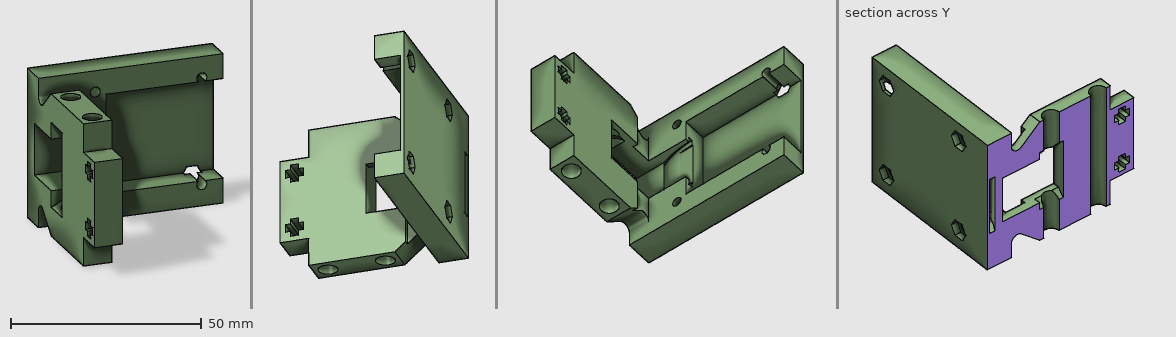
import cadquery as cq
import math

PLATE_THICKNESS = 8.25
PLATE_LENGTH = 52.0
PLATE_HEIGHT = 42.0

BASE_THICKNESS = 8.0
BLOCK_START_X = 17.75
BLOCK_LENGTH = 24.0
BLOCK_HEIGHT = 40.0
BLOCK_END_X = BLOCK_START_X + BLOCK_LENGTH
TAB_LENGTH = 8.0
TAB_HEIGHT = 24.0

NOTCH_RADIUS = 2.0
NOTCH_BOTTOM_Z = 14.25

RELIEF_END_X = 14.75
RELIEF_DEPTH = 1.5

WINDOW_START_X = 5.25
WINDOW_END_X = 25.75
WINDOW_HEIGHT = 14.5

SEAT_RADIUS = 12.7
SEAT_HALF_HEIGHT = 11.9
SEAT_AXIS_Y = -math.sqrt(SEAT_RADIUS**2 - SEAT_HALF_HEIGHT**2)

BORE_DIAMETER = 5.2
BORE_INSET = 4.0
BORE_XS = (BLOCK_START_X + BORE_INSET, BLOCK_END_X - BORE_INSET)

CROSS_SPAN = 5.0
CROSS_ARM_WIDTH = 2.2
CROSS_X = BLOCK_END_X + TAB_LENGTH / 2
CROSS_PITCH = 16.0

SCREW_DIAMETER = 2.8
SCREW_PITCH = 30.0
SCREW_CENTER_Y = PLATE_LENGTH - PLATE_HEIGHT / 2
NUT_CORNER_DIAMETER = 6.0
NUT_DEPTH = 2.0

RECESS_FLOOR_X = 1.0
RECESS_HEIGHT = 28.0
RECESS_START_Y = 19.0

PASSAGE_HEIGHT = 18.0
PASSAGE_MOUTH_START_Y = 0.65
PASSAGE_MOUTH_END_Y = 2.8
PASSAGE_AXIS_X = -20.6
PASSAGE_AXIS_Y = RECESS_START_Y


def box(x_range, y_range, height, center_z=0.0):
    """Box spanning the X and Y ranges, centred on center_z."""
    length = x_range[1] - x_range[0]
    depth = y_range[1] - y_range[0]
    center = (sum(x_range) / 2, sum(y_range) / 2, center_z)
    return cq.Workplane("XY").box(length, depth, height).translate(center)


def notch():
    """Cutter above the base flank: plate face, tangent round bottom, slope."""
    center_x = PLATE_THICKNESS + NOTCH_RADIUS
    center_z = NOTCH_BOTTOM_Z + NOTCH_RADIUS
    top_z = BLOCK_HEIGHT / 2

    run = BLOCK_START_X - center_x
    rise = top_z - center_z
    slope = math.atan2(rise, run) + math.asin(NOTCH_RADIUS / math.hypot(run, rise))
    tangent_x = center_x + NOTCH_RADIUS * math.sin(slope)
    tangent_z = center_z - NOTCH_RADIUS * math.cos(slope)

    return (
        cq.Workplane("XZ")
        .moveTo(PLATE_THICKNESS, top_z)
        .lineTo(PLATE_THICKNESS, center_z)
        .threePointArc((center_x, NOTCH_BOTTOM_Z), (tangent_x, tangent_z))
        .lineTo(BLOCK_START_X, top_z)
        .close()
        .extrude(-BASE_THICKNESS)
    )


def base():
    """Notched block with its end tab and the relief beside the plate."""
    base_y = (0, BASE_THICKNESS)
    body = box((PLATE_THICKNESS, BLOCK_END_X), base_y, BLOCK_HEIGHT)
    body = body.union(box((BLOCK_END_X, BLOCK_END_X + TAB_LENGTH), base_y, TAB_HEIGHT))
    upper_notch = notch()
    body = body.cut(upper_notch).cut(upper_notch.mirror("XY"))
    relief_y = (BASE_THICKNESS - RELIEF_DEPTH, BASE_THICKNESS)
    return body.cut(box((PLATE_THICKNESS, RELIEF_END_X), relief_y, BLOCK_HEIGHT))


def window():
    """Rectangular opening along Y, through the base and along the plate."""
    opening = box((WINDOW_START_X, WINDOW_END_X), (0, BASE_THICKNESS), WINDOW_HEIGHT)
    groove = box((WINDOW_START_X, PLATE_THICKNESS), (0, PLATE_LENGTH), WINDOW_HEIGHT)
    return opening.union(groove)


def seat():
    """Cylinder along X whose axis lies in front of the base."""
    return (
        cq.Workplane("YZ", origin=(BLOCK_START_X, SEAT_AXIS_Y, 0))
        .circle(SEAT_RADIUS)
        .extrude(WINDOW_END_X - BLOCK_START_X)
    )


def bores():
    """Vertical bores through the full height of the block."""
    return (
        cq.Workplane("XY", origin=(0, BASE_THICKNESS / 2, -BLOCK_HEIGHT / 2))
        .pushPoints([(x, 0) for x in BORE_XS])
        .circle(BORE_DIAMETER / 2)
        .extrude(BLOCK_HEIGHT)
    )


def cross_hole(center_z):
    """Two crossed bars running through the tab along Y."""
    half_span = CROSS_SPAN / 2
    half_arm = CROSS_ARM_WIDTH / 2
    tab_y = (0, BASE_THICKNESS)
    flat = box((CROSS_X - half_span, CROSS_X + half_span), tab_y, CROSS_ARM_WIDTH, center_z)
    upright = box((CROSS_X - half_arm, CROSS_X + half_arm), tab_y, CROSS_SPAN, center_z)
    return flat.union(upright)


def screw_holes():
    """Four screw holes along X, each with a nut pocket in the outer face."""
    pattern = cq.Workplane("YZ", origin=(0, SCREW_CENTER_Y, 0)).rarray(SCREW_PITCH, SCREW_PITCH, 2, 2)
    holes = pattern.circle(SCREW_DIAMETER / 2).extrude(PLATE_THICKNESS)
    nuts = pattern.polygon(6, NUT_CORNER_DIAMETER).extrude(NUT_DEPTH)
    return holes.union(nuts)


def recess():
    """Recess between the nut rows, open to the inner face and the far end."""
    return box((RECESS_FLOOR_X, PLATE_THICKNESS), (RECESS_START_Y, PLATE_LENGTH), RECESS_HEIGHT)


def passage():
    """Slice of a ring about a Z axis, from the outer face to the recess."""
    outer_radius = math.hypot(PASSAGE_AXIS_X, PASSAGE_AXIS_Y - PASSAGE_MOUTH_START_Y)
    inner_radius = math.hypot(PASSAGE_AXIS_X, PASSAGE_AXIS_Y - PASSAGE_MOUTH_END_Y)
    ring = (
        cq.Workplane("XY", origin=(PASSAGE_AXIS_X, PASSAGE_AXIS_Y, -PASSAGE_HEIGHT / 2))
        .circle(outer_radius)
        .circle(inner_radius)
        .extrude(PASSAGE_HEIGHT)
    )
    return ring.intersect(box((0, PLATE_THICKNESS), (0, RECESS_START_Y), PASSAGE_HEIGHT))


result = box((0, PLATE_THICKNESS), (0, PLATE_LENGTH), PLATE_HEIGHT).union(base())
result = result.cut(window()).cut(seat()).cut(bores())
for side in (-1, 1):
    result = result.cut(cross_hole(side * CROSS_PITCH / 2))
result = result.cut(screw_holes()).cut(recess()).cut(passage())